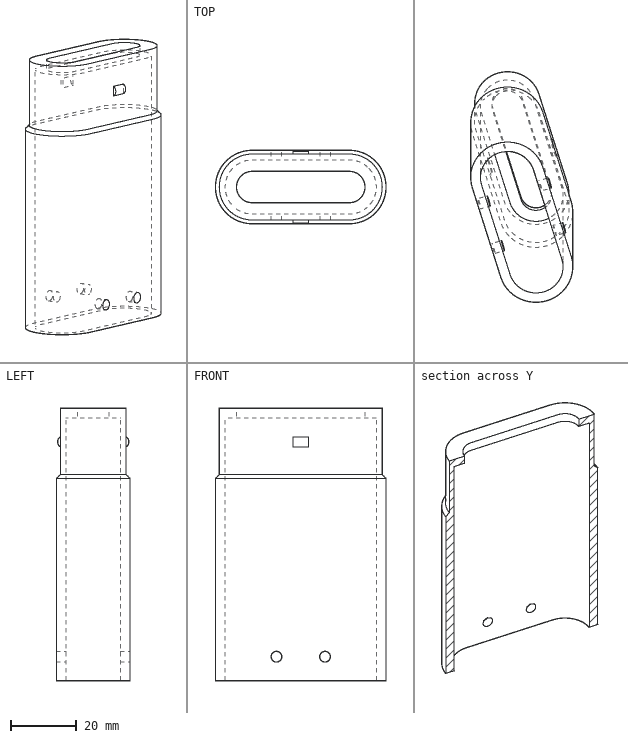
import cadquery as cq

body_length = 52.1
body_width = 22.5
total_height = 83.2
straight_length = body_length - body_width

shoulder_size = 1.2
shoulder_angle = 45
neck_height = 20.3
neck_width = body_width - 2 * shoulder_size
body_height = total_height - neck_height - shoulder_size

wall_thickness = 3.0
cavity_width = body_width - 2 * wall_thickness
lip_thickness = 3.0
slot_width = 9.5

hole_diameter = 3.2
hole_spacing = straight_length / 2
hole_height = hole_spacing / 2

ridge_length = 4.7
ridge_protrusion = 0.85
ridge_height = 3.0
ridge_root_depth = 0.5
ridge_depth_below_top = 10.3
ridge_center_z = total_height - ridge_depth_below_top


def stadium_prism(width, bottom_z, height, taper=0):
    """Upright prism with two flat sides and two fully rounded ends."""
    outline = cq.Workplane("XY").workplane(offset=bottom_z).slot2D(straight_length + width, width)
    return outline.extrude(height, taper=taper)


def make_shell():
    """Body, shoulder and neck, hollowed by the cavity and the top slot."""
    body = stadium_prism(body_width, 0, body_height)
    shoulder = stadium_prism(body_width, body_height, shoulder_size, taper=shoulder_angle)
    neck = stadium_prism(neck_width, body_height + shoulder_size, neck_height)
    cavity = stadium_prism(cavity_width, 0, total_height - lip_thickness)
    slot = stadium_prism(slot_width, 0, total_height)
    return body.union(shoulder).union(neck).cut(cavity).cut(slot)


def make_cross_holes():
    """Pair of pins along Y that pierce both flat walls."""
    centers = [(-hole_spacing / 2, hole_height), (hole_spacing / 2, hole_height)]
    plane = cq.Workplane("XZ").pushPoints(centers)
    return plane.circle(hole_diameter / 2).extrude(body_width, both=True)


def make_ridge(side):
    """Ridge along X with a circular-segment crest; side is +1 or -1 along Y."""
    face_y = side * neck_width / 2
    crest_y = side * (neck_width / 2 + ridge_protrusion)
    root_y = side * (neck_width / 2 - ridge_root_depth)
    top_z = ridge_center_z + ridge_height / 2
    bottom_z = ridge_center_z - ridge_height / 2
    return (
        cq.Workplane("YZ")
        .moveTo(root_y, bottom_z)
        .lineTo(face_y, bottom_z)
        .threePointArc((crest_y, ridge_center_z), (face_y, top_z))
        .lineTo(root_y, top_z)
        .close()
        .extrude(ridge_length / 2, both=True)
    )


result = make_shell().cut(make_cross_holes())
for side in (-1, 1):
    result = result.union(make_ridge(side))